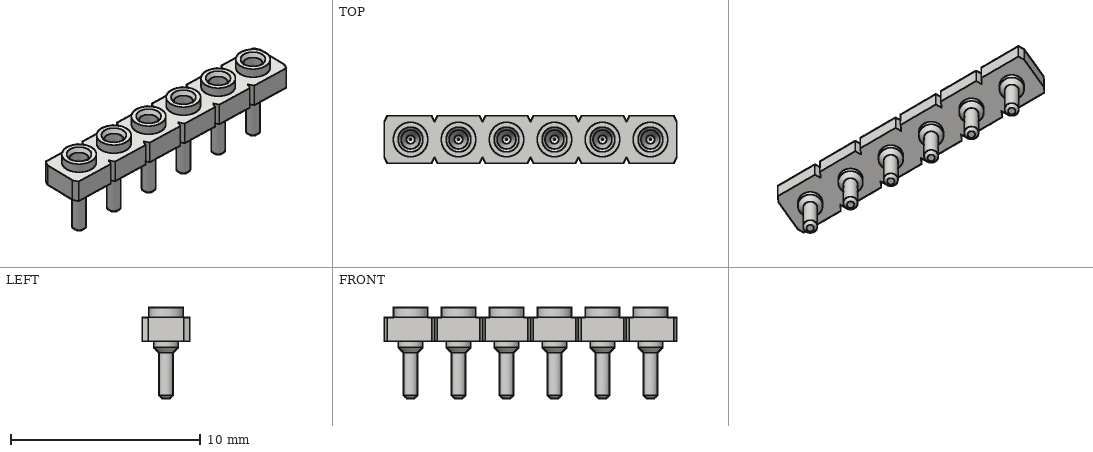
import cadquery as cq

PIN_COUNT = 6
PITCH = 2.54

HOUSING_LENGTH = 15.47
HOUSING_WIDTH = PITCH
HOUSING_HEIGHT = 1.27
NOTCH_HALF_WIDTH = 0.15
NOTCH_DEPTH = 0.32

HEAD_RADIUS = 1.83 / 2
HEAD_HEIGHT = 0.53
BODY_RADIUS = 1.31 / 2
BODY_BELOW_HOUSING = 0.32
TAIL_RADIUS = 0.76 / 2
TIP_CHAMFER = 0.19
PIN_LENGTH = 4.83

MOUTH_RADIUS = 1.31 / 2
MOUTH_DEPTH = 0.25
BORE_RADIUS = 1.0 / 2
BORE_DEPTH = 0.73
TAPER_END_RADIUS = 0.45 / 2
TAPER_END_DEPTH = 2.01
BOTTOM_RADIUS = 0.03
BOTTOM_DEPTH = 2.13

BODY_END_Z = -HOUSING_HEIGHT - BODY_BELOW_HOUSING
TAIL_START_Z = BODY_END_Z - (BODY_RADIUS - TAIL_RADIUS)
TIP_Z = HEAD_HEIGHT - PIN_LENGTH
BORE_END_Z = HEAD_HEIGHT - BORE_DEPTH
TAPER_END_Z = HEAD_HEIGHT - TAPER_END_DEPTH
BOTTOM_Z = HEAD_HEIGHT - BOTTOM_DEPTH
PIN_POSITIONS = [((i - (PIN_COUNT - 1) / 2) * PITCH, 0) for i in range(PIN_COUNT)]


def side_notch(x, side):
    """V notch cutter centred at x, in the +Y (side = 1) or -Y (side = -1) face."""
    face_y = side * HOUSING_WIDTH / 2
    return (
        cq.Workplane("XY")
        .polyline([
            (x - NOTCH_HALF_WIDTH, face_y),
            (x + NOTCH_HALF_WIDTH, face_y),
            (x, face_y - side * NOTCH_DEPTH),
        ])
        .close()
        .extrude(-HOUSING_HEIGHT)
    )


def make_housing():
    """Bar with half notches at its corners, V notches between pins and a hole for each pin."""
    bar = cq.Workplane("XY").box(
        HOUSING_LENGTH, HOUSING_WIDTH, HOUSING_HEIGHT, centered=(True, True, False)
    ).translate((0, 0, -HOUSING_HEIGHT))
    notch_positions = [-HOUSING_LENGTH / 2, HOUSING_LENGTH / 2]
    notch_positions += [x + PITCH / 2 for x, _ in PIN_POSITIONS[:-1]]
    for x in notch_positions:
        for side in (-1, 1):
            bar = bar.cut(side_notch(x, side))
    pin_holes = cq.Workplane("XY").pushPoints(PIN_POSITIONS).circle(BODY_RADIUS).extrude(-HOUSING_HEIGHT)
    return bar.cut(pin_holes)


def make_pin():
    """Turned socket pin on the Z axis, its head resting on the housing."""
    return (
        cq.Workplane("XZ")
        .polyline([
            (0, TIP_Z),
            (TAIL_RADIUS - TIP_CHAMFER, TIP_Z),
            (TAIL_RADIUS, TIP_Z + TIP_CHAMFER),
            (TAIL_RADIUS, TAIL_START_Z),
            (BODY_RADIUS, BODY_END_Z),
            (BODY_RADIUS, 0),
            (HEAD_RADIUS, 0),
            (HEAD_RADIUS, HEAD_HEIGHT),
            (MOUTH_RADIUS, HEAD_HEIGHT),
            (BORE_RADIUS, HEAD_HEIGHT - MOUTH_DEPTH),
            (BORE_RADIUS, BORE_END_Z),
            (TAPER_END_RADIUS, TAPER_END_Z),
            (BOTTOM_RADIUS, BOTTOM_Z),
            (0, BOTTOM_Z),
        ])
        .close()
        .revolve(360, (0, 0, 0), (0, 1, 0))
    )


housing = make_housing()
pins = [make_pin().translate((x, y, 0)) for x, y in PIN_POSITIONS]

result = cq.Compound.makeCompound([housing.val(), *[pin.val() for pin in pins]])